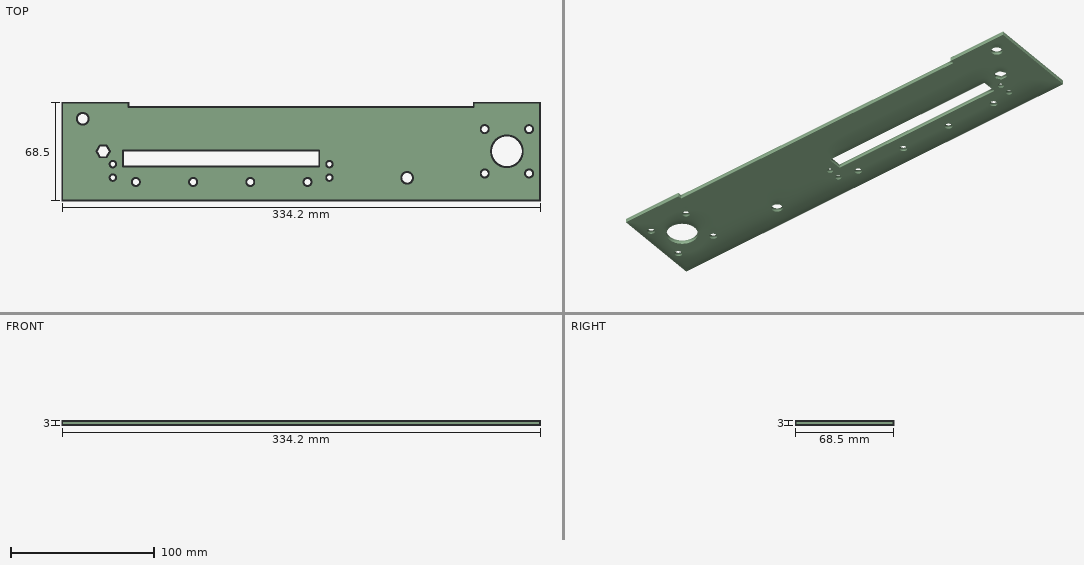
import cadquery as cq
import math

LENGTH = 334.25
WIDTH = 68.48
THICKNESS = 3.0

RECESS_LENGTH = 241.25
RECESS_DEPTH = 3.0

WINDOW_LENGTH = 137.2
WINDOW_WIDTH = 11.1
WINDOW_CENTER = (111.2, 29.4)
WINDOW_SCREW_DIAMETER = 4.4
WINDOW_SCREW_SPAN = 151.4
WINDOW_SCREW_PITCH = 9.4
WINDOW_SCREW_CENTER = (WINDOW_CENTER[0], 20.7)

ROW_HOLE_DIAMETER = 5.5
ROW_COUNT = 4
ROW_PITCH = 40.0
ROW_START = (51.6, 12.95)

MOTOR_BORE_DIAMETER = 22.0
MOTOR_SCREW_DIAMETER = 5.5
MOTOR_SCREW_PITCH = 31.0
MOTOR_CENTER = (311.0, 34.4)

HEX_ACROSS_FLATS = 8.0
HEX_CENTER = (28.75, 34.4)

LARGE_HOLE_DIAMETER = 8.0
LARGE_HOLE_CENTERS = [(14.45, 57.15), (241.25, 15.85)]


def plate():
    """Flat plate with the rear-edge recess."""
    blank = cq.Workplane("XY").box(LENGTH, WIDTH, THICKNESS, centered=False)
    recess = (
        cq.Workplane("XY")
        .center(LENGTH / 2, WIDTH - RECESS_DEPTH / 2)
        .rect(RECESS_LENGTH, RECESS_DEPTH)
        .extrude(THICKNESS)
    )
    return blank.cut(recess)


def window():
    """Cutter for the rectangular window."""
    return (
        cq.Workplane("XY")
        .center(*WINDOW_CENTER)
        .rect(WINDOW_LENGTH, WINDOW_WIDTH)
        .extrude(THICKNESS)
    )


def hex_hole():
    """Cutter for the hexagonal through hole."""
    across_corners = HEX_ACROSS_FLATS / math.cos(math.pi / 6)
    return cq.Workplane("XY").center(*HEX_CENTER).polygon(6, across_corners).extrude(THICKNESS)


def holes(centers, diameter):
    """Cutter for round through holes of one diameter."""
    return cq.Workplane("XY").pushPoints(centers).circle(diameter / 2).extrude(THICKNESS)


def rectangle_corners(center, span_x, span_y):
    """Corner points of a rectangle about a center."""
    return [
        (center[0] + side_x * span_x / 2, center[1] + side_y * span_y / 2)
        for side_x in (-1, 1)
        for side_y in (-1, 1)
    ]


window_screws = rectangle_corners(WINDOW_SCREW_CENTER, WINDOW_SCREW_SPAN, WINDOW_SCREW_PITCH)
motor_screws = rectangle_corners(MOTOR_CENTER, MOTOR_SCREW_PITCH, MOTOR_SCREW_PITCH)
row_holes = [(ROW_START[0] + index * ROW_PITCH, ROW_START[1]) for index in range(ROW_COUNT)]

result = (
    plate()
    .cut(window())
    .cut(hex_hole())
    .cut(holes(window_screws, WINDOW_SCREW_DIAMETER))
    .cut(holes(row_holes, ROW_HOLE_DIAMETER))
    .cut(holes([MOTOR_CENTER], MOTOR_BORE_DIAMETER))
    .cut(holes(motor_screws, MOTOR_SCREW_DIAMETER))
    .cut(holes(LARGE_HOLE_CENTERS, LARGE_HOLE_DIAMETER))
)